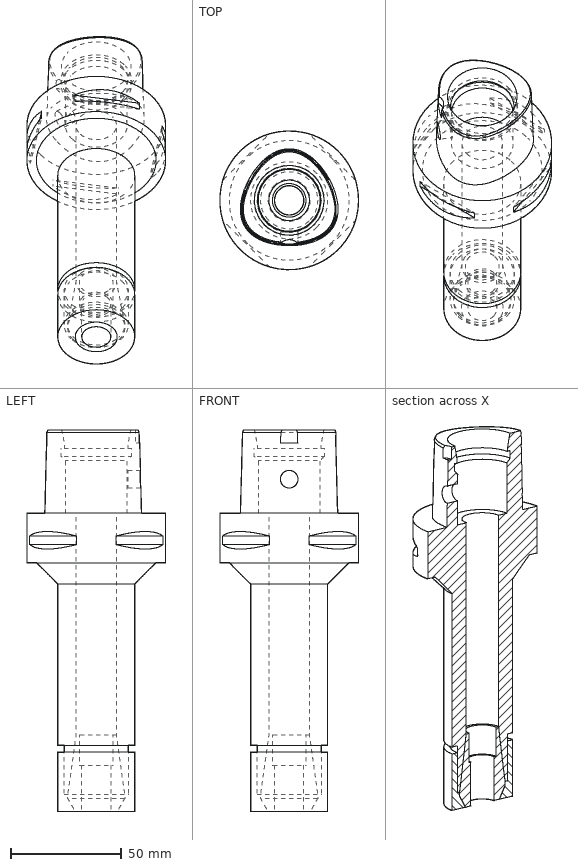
import cadquery as cq
import math

total_height = 173.0
flange_top = 135.3
flange_height = 22.5
flange_bottom = flange_top - flange_height
neck_top = 30.1
nut_height = 27.0

flange_radius = 31.5
shank_radius = 17.5
nut_radius = shank_radius
neck_radius = 14.5
cone_top_radius = 27.2
cone_height = cone_top_radius - shank_radius
cone_bottom = flange_bottom - cone_height
thread_end = 7.8

shank_height = total_height - flange_top
polygon_radius = 22.0
lobe_height = 1.4
taper_slope = 1 / 40
rim_chamfer_width = 0.5
rim_chamfer_height = 1.2
outline_points = 24

entry_radius = 15.7
lip_radius = 14.4
entry_depth = 7.0
lip_depth = 8.5
groove_radius = 16.0
groove_depth = 12.0
bore_radius = 14.0
groove_chamfer = groove_radius - bore_radius
bore_depth = shank_height
through_radius = 9.2

notch_radius = 5.2
notch_inner_y = 17.8
notch_depth = 5.9
side_hole_radius = 4.0
side_hole_z = 150.7
side_hole_floor_y = 14.4

slot_count = 4
slot_start_angle = 45
slot_z = 123.0
slot_floor_distance = 27.7
slot_floor_height = 3.8
slot_mouth_height = 8.0

collet_max_radius = 13.0
collet_taper_angle = 8.0
collet_nose_radius = 9.5
collet_nose_height = 6.0
grip_radius = 6.5
relief_radius = 7.6
relief_depth = 13.8
seat_length = (collet_max_radius - through_radius) / math.tan(math.radians(collet_taper_angle))
collet_top = thread_end + seat_length


def revolve_profile(points):
    """Solid of revolution about Z from a closed (radius, height) outline."""
    return cq.Workplane("XZ").polyline(points).close().revolve(360, (0, 0, 0), (0, 1, 0))


def lobed_outline(mean_radius):
    """Points of the closed three-lobed curve, with one lobe toward +Y."""
    points = []
    for i in range(outline_points):
        angle = 2 * math.pi * i / outline_points
        x = mean_radius * math.cos(angle) - lobe_height * math.sin(2 * angle)
        y = mean_radius * math.sin(angle) - lobe_height * math.cos(2 * angle)
        points.append((x, y))
    return points


def lobed_frustum(bottom_z, height, bottom_radius, top_radius):
    return (
        cq.Workplane("XY", origin=(0, 0, bottom_z))
        .spline(lobed_outline(bottom_radius), periodic=True)
        .close()
        .workplane(offset=height)
        .spline(lobed_outline(top_radius), periodic=True)
        .close()
        .loft(ruled=True, combine=True)
    )


def make_taper_shank():
    side_height = shank_height - rim_chamfer_height
    side_top_radius = polygon_radius - taper_slope * side_height
    side = lobed_frustum(flange_top, side_height, polygon_radius, side_top_radius)
    rim = lobed_frustum(
        flange_top + side_height, rim_chamfer_height, side_top_radius, side_top_radius - rim_chamfer_width
    )
    return side.union(rim)


def make_holder_body():
    return revolve_profile([
        (0, thread_end),
        (neck_radius, thread_end),
        (neck_radius, neck_top),
        (shank_radius, neck_top),
        (shank_radius, cone_bottom),
        (cone_top_radius, flange_bottom),
        (flange_radius, flange_bottom),
        (flange_radius, flange_top),
        (0, flange_top),
    ])


def make_holder_bore():
    """Stepped bore with a locking groove at the top and the collet seat at the bottom."""
    return revolve_profile([
        (0, thread_end),
        (collet_max_radius, thread_end),
        (through_radius, collet_top),
        (through_radius, total_height - bore_depth),
        (bore_radius, total_height - bore_depth),
        (bore_radius, total_height - groove_depth - groove_chamfer),
        (groove_radius, total_height - groove_depth),
        (groove_radius, total_height - lip_depth),
        (lip_radius, total_height - lip_depth),
        (lip_radius, total_height - entry_depth),
        (entry_radius, total_height),
        (0, total_height),
    ])


def make_rim_notch():
    return (
        cq.Workplane("XY", origin=(0, -notch_inner_y - notch_radius, total_height - notch_depth))
        .circle(notch_radius)
        .extrude(notch_depth)
    )


def make_side_hole():
    return (
        cq.Workplane("XZ", origin=(0, -side_hole_floor_y, side_hole_z))
        .circle(side_hole_radius)
        .extrude(flange_radius - side_hole_floor_y)
    )


def make_gripper_slot():
    """Trapezoidal groove running along Y, cut into the +X side of the flange."""
    half_floor = slot_floor_height / 2
    half_mouth = slot_mouth_height / 2
    return (
        cq.Workplane("XZ", origin=(0, 0, slot_z))
        .polyline([
            (slot_floor_distance, -half_floor),
            (flange_radius, -half_mouth),
            (flange_radius, half_mouth),
            (slot_floor_distance, half_floor),
        ])
        .close()
        .extrude(flange_radius, both=True)
    )


def make_holder():
    holder = make_holder_body().union(make_taper_shank())
    holder = holder.cut(make_holder_bore()).cut(make_rim_notch()).cut(make_side_hole())
    for i in range(slot_count):
        slot_angle = slot_start_angle + i * 360 / slot_count
        holder = holder.cut(make_gripper_slot().rotate((0, 0, 0), (0, 0, 1), slot_angle))
    return holder


def make_nut():
    return revolve_profile([
        (collet_nose_radius, 0),
        (nut_radius, 0),
        (nut_radius, nut_height),
        (neck_radius, nut_height),
        (neck_radius, thread_end),
        (collet_max_radius, thread_end),
        (collet_max_radius, collet_nose_height),
    ])


def make_collet():
    return revolve_profile([
        (grip_radius, 0),
        (collet_nose_radius, 0),
        (collet_max_radius, collet_nose_height),
        (collet_max_radius, thread_end),
        (through_radius, collet_top),
        (relief_radius, collet_top),
        (relief_radius, collet_top - relief_depth),
        (grip_radius, collet_top - relief_depth),
    ])


holder = make_holder()
nut = make_nut()
collet = make_collet()

result = cq.Compound.makeCompound([holder.solids().val(), nut.val(), collet.val()])